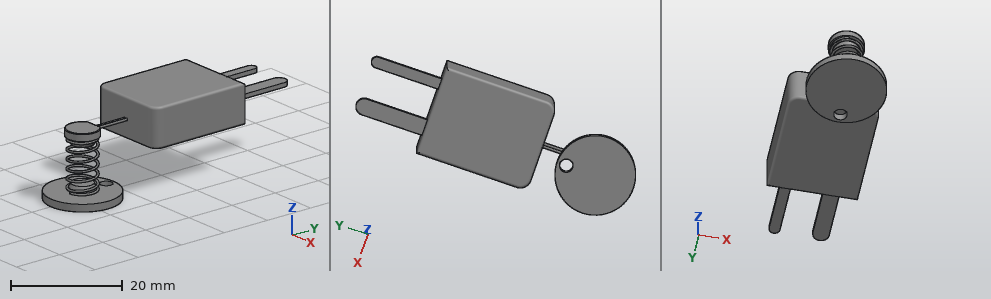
import cadquery as cq
import math

disc_radius = 7.25
disc_thickness = 1.5
eyelet_radius = 1.2
eyelet_y = 5.5

cap_radius = 3.25
cap_thickness = 1.5
cap_bottom = 12.0
cap_flat_y = 2.6
cap_chamfer = 0.15

spigot_radius = 2.53
spigot_height = 1.5
spigot_tip_radius = 2.13
spigot_taper_height = 0.8

wire_radius = 0.22
coil_radius = 2.78
active_turns = 5
closed_turns = 1
closed_pitch = 0.5
end_inset = 0.1
spring_bottom = disc_thickness + end_inset
spring_top = cap_bottom - end_inset
active_bottom = spring_bottom + closed_pitch * closed_turns
active_top = spring_top - closed_pitch * closed_turns
active_pitch = (active_top - active_bottom) / active_turns
spring_start_angle = -90.0
path_points_per_turn = 16

plug_turn = 0.35
body_width = 16.6
body_length = 21.0
body_height = 8.0
body_bottom = 9.0
body_front_y = 10.03
body_back_y = body_front_y + body_length
body_corner_radius = 2.0
body_edge_radius = 0.5

blade_tip_y = 44.0
blade_thickness = 0.9
blade_bottom = 12.65
narrow_blade_x = -4.45
narrow_blade_width = 2.0
wide_blade_x = 3.95
wide_blade_width = 3.0

lead_radius = 0.27
lead_spacing = 0.5
lead_z = cap_bottom + cap_thickness / 2
lead_embed = 1.0


def make_spigot(root_z, direction):
    """Round peg with a tapered tip, pointing up (direction 1) or down (direction -1)."""
    shoulder_z = root_z + direction * (spigot_height - spigot_taper_height)
    tip_z = root_z + direction * spigot_height
    return (
        cq.Workplane("XZ")
        .moveTo(0, root_z)
        .lineTo(spigot_radius, root_z)
        .lineTo(spigot_radius, shoulder_z)
        .lineTo(spigot_tip_radius, tip_z)
        .lineTo(0, tip_z)
        .close()
        .revolve(360, (0, 0, 0), (0, 1, 0))
    )


def make_disc():
    disc = cq.Workplane("XY").circle(disc_radius).extrude(disc_thickness)
    eyelet = cq.Workplane("XY").center(0, eyelet_y).circle(eyelet_radius).extrude(disc_thickness)
    return disc.cut(eyelet).union(make_spigot(disc_thickness, 1))


def make_cap():
    flat_waste = cq.Workplane("XY", origin=(0, cap_flat_y + cap_radius, cap_bottom)).box(
        2 * cap_radius, 2 * cap_radius, cap_thickness, centered=(True, True, False)
    )
    cap = (
        cq.Workplane("XY", origin=(0, 0, cap_bottom))
        .circle(cap_radius)
        .extrude(cap_thickness)
        .faces(">Z")
        .chamfer(cap_chamfer)
        .cut(flat_waste)
    )
    return cap.union(make_spigot(cap_bottom, -1))


def spring_height(turn):
    """Height of the wire centre after a number of turns from the bottom end."""
    active_turn = turn - closed_turns
    if active_turn < 0:
        return active_bottom + closed_pitch * active_turn
    if active_turn > active_turns:
        return active_top + closed_pitch * (active_turn - active_turns)
    return active_bottom + active_pitch * active_turn


def spring_point(turn):
    angle = math.radians(spring_start_angle) + 2 * math.pi * turn
    return cq.Vector(coil_radius * math.cos(angle), coil_radius * math.sin(angle), spring_height(turn))


def make_spring():
    total_turns = active_turns + 2 * closed_turns
    point_count = total_turns * path_points_per_turn
    points = [spring_point(i / path_points_per_turn) for i in range(point_count + 1)]
    path = cq.Edge.makeSpline(points)
    section = cq.Plane(origin=points[0], xDir=(0, 0, 1), normal=path.tangentAt(0))
    return cq.Workplane(section).circle(wire_radius).sweep(cq.Workplane(path), isFrenet=True)


def make_body():
    return (
        cq.Workplane("XY", origin=(0, body_front_y, body_bottom))
        .box(body_width, body_length, body_height, centered=(True, False, False))
        .edges("|Z and <Y")
        .fillet(body_corner_radius)
        .faces(">Z or <Z")
        .edges()
        .fillet(body_edge_radius)
    )


def make_blade(x, width):
    """Flat blade with a full round tip, rising from the back of the body."""
    half_width = width / 2
    shoulder_y = blade_tip_y - half_width
    return (
        cq.Workplane("XY", origin=(x, 0, blade_bottom))
        .moveTo(-half_width, body_back_y - lead_embed)
        .lineTo(half_width, body_back_y - lead_embed)
        .lineTo(half_width, shoulder_y)
        .threePointArc((0, blade_tip_y), (-half_width, shoulder_y))
        .close()
        .extrude(blade_thickness)
    )


def make_lead():
    start_y = cap_flat_y - lead_embed
    length = body_front_y + lead_embed - start_y
    lead = cq.Workplane("XY")
    for x in (-lead_spacing / 2, lead_spacing / 2):
        strand = cq.Workplane("XZ", origin=(x, start_y, lead_z)).circle(lead_radius).extrude(-length)
        lead = lead.union(strand)
    return lead


def make_plug():
    plug = (
        make_body()
        .union(make_blade(narrow_blade_x, narrow_blade_width))
        .union(make_blade(wide_blade_x, wide_blade_width))
        .union(make_lead())
    )
    return plug.rotate((0, 0, 0), (0, 0, 1), plug_turn)


result = make_disc().union(make_spring()).union(make_cap()).union(make_plug())